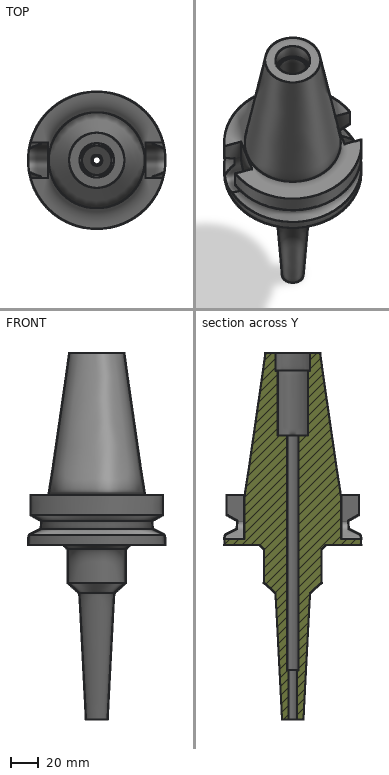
import cadquery as cq
import math


gauge_diameter = 69.85
taper_length = 101.8
taper_rate = 7 / 24
taper_small_diameter = gauge_diameter - taper_rate * taper_length

flange_diameter = 100.0
flange_top_z = -1.5
flange_bottom_z = -38.0
groove_center_z = -23.3
groove_mouth_width = 14.5
groove_diameter = 85.0
groove_flank_angle = 30.0

slot_width = 25.7
slot_floor_x = 35.4
slot_end_z = -33.6

nose_end_z = -165.0
neck_diameter = 42.5
neck_chamfer = 3.0
neck_end_z = -65.5
nose_start_z = -73.0
nose_tip_diameter = 16.0
nose_taper_angle = 3.0

mouth_bore_diameter = 25.0
mouth_bore_depth = 13.0
thread_bore_diameter = 21.5
thread_bore_depth = 60.0
coolant_bore_diameter = 8.0
tool_bore_diameter = 6.0
tool_bore_depth = 36.0


def make_body():
    """Revolve the outside of the holder about the Z axis."""
    gauge_radius = gauge_diameter / 2
    flange_radius = flange_diameter / 2
    groove_radius = groove_diameter / 2
    neck_radius = neck_diameter / 2
    nose_tip_radius = nose_tip_diameter / 2
    flank_height = (flange_radius - groove_radius) * math.tan(math.radians(groove_flank_angle))
    half_mouth = groove_mouth_width / 2
    half_floor = half_mouth - flank_height
    nose_length = nose_start_z - nose_end_z
    nose_start_radius = nose_tip_radius + nose_length * math.tan(math.radians(nose_taper_angle))
    profile = [
        (0, taper_length),
        (taper_small_diameter / 2, taper_length),
        (gauge_radius, 0),
        (gauge_radius, flange_top_z),
        (flange_radius, flange_top_z),
        (flange_radius, groove_center_z + half_mouth),
        (groove_radius, groove_center_z + half_floor),
        (groove_radius, groove_center_z - half_floor),
        (flange_radius, groove_center_z - half_mouth),
        (flange_radius, flange_bottom_z),
        (neck_radius + neck_chamfer, flange_bottom_z),
        (neck_radius, flange_bottom_z - neck_chamfer),
        (neck_radius, neck_end_z),
        (nose_start_radius, nose_start_z),
        (nose_tip_radius, nose_end_z),
        (0, nose_end_z),
    ]
    return cq.Workplane("YZ").polyline(profile).close().revolve(360, (0, 0), (0, 1))


def make_drive_slot(side):
    """Round-ended slot cutter reaching outward from the slot floor; side is +1 or -1."""
    half_width = slot_width / 2
    arc_center_z = slot_end_z + half_width
    outline = (
        cq.Workplane("YZ", origin=(side * slot_floor_x, 0, 0))
        .moveTo(-half_width, 0)
        .lineTo(-half_width, arc_center_z)
        .threePointArc((0, slot_end_z), (half_width, arc_center_z))
        .lineTo(half_width, 0)
        .close()
    )
    return outline.extrude(side * flange_diameter / 2)


def make_bore(diameter, bottom_z, top_z):
    """Cylinder on the Z axis between two heights."""
    return cq.Workplane("XY", origin=(0, 0, bottom_z)).circle(diameter / 2).extrude(top_z - bottom_z)


mouth_floor_z = taper_length - mouth_bore_depth
thread_floor_z = taper_length - thread_bore_depth
tool_stop_z = nose_end_z + tool_bore_depth

result = make_body()
for side in (-1, 1):
    result = result.cut(make_drive_slot(side))
result = result.cut(make_bore(mouth_bore_diameter, mouth_floor_z, taper_length))
result = result.cut(make_bore(thread_bore_diameter, thread_floor_z, mouth_floor_z))
result = result.cut(make_bore(coolant_bore_diameter, tool_stop_z, thread_floor_z))
result = result.cut(make_bore(tool_bore_diameter, nose_end_z, tool_stop_z))